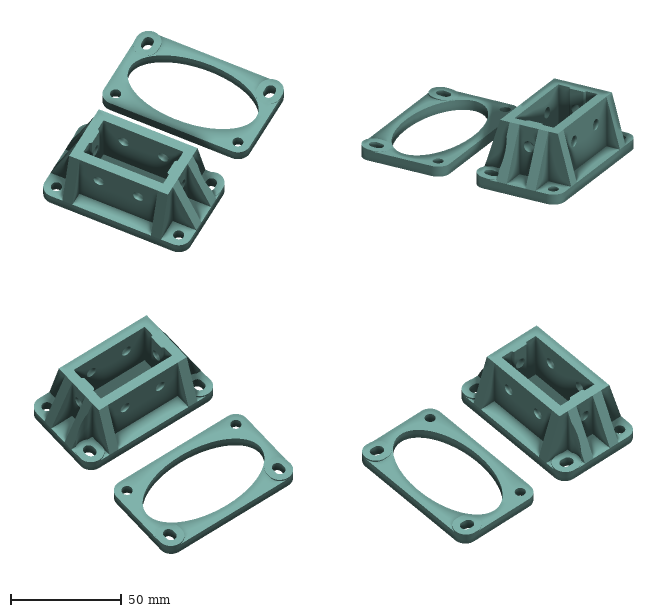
import cadquery as cq

PLATE_LENGTH = 74.0
PLATE_WIDTH = 45.0
PLATE_THICKNESS = 5.0
CORNER_RADIUS = 6.0
PLATE_PITCH = 104.9 - PLATE_WIDTH
HOLE_DIAMETER = 5.0
HOLE_X = PLATE_LENGTH / 2 - CORNER_RADIUS
HOLE_Y = PLATE_WIDTH / 2 - CORNER_RADIUS

SLOT_TRAVEL = 2.0
SEAT_LENGTH = 2 * CORNER_RADIUS + SLOT_TRAVEL
SEAT_RISE = 1.0
SLOT_Y = HOLE_Y - SLOT_TRAVEL / 2

WINDOW_LENGTH = 64.0
WINDOW_WIDTH = 35.0

TOTAL_HEIGHT = 30.0
BOX_LENGTH = PLATE_LENGTH - 4 * CORNER_RADIUS
BOX_WIDTH = 30.0
BOX_Y = -0.5
POCKET_LENGTH = 40.5
POCKET_WIDTH = 20.5

KEY_DEPTH = 1.2
KEY_WIDTH = 8.6
KEY_TIP_WIDTH = 7.1
KEY_SHOULDER = 0.4

CROSS_HOLE_DIAMETER = 5.3
CROSS_HOLE_Z = 20.0
CROSS_HOLE_SPACING = 20.0

RIB_THICKNESS = 5.1
END_RIB_SPACING = 15.0


def stadium(width, length, height):
    """Upright prism with round ends, long in Y, standing on Z = 0."""
    return cq.Workplane("XY").slot2D(length, width, 90).extrude(height)


def seat_block():
    """Seat with a top that falls to the plate surface at its -Y end."""
    block = stadium(2 * CORNER_RADIUS, SEAT_LENGTH, PLATE_THICKNESS + SEAT_RISE)
    wedge = (
        cq.Workplane("YZ")
        .moveTo(-SEAT_LENGTH / 2, 0)
        .lineTo(SEAT_LENGTH / 2, 0)
        .lineTo(SEAT_LENGTH / 2, PLATE_THICKNESS + SEAT_RISE)
        .lineTo(-SEAT_LENGTH / 2, PLATE_THICKNESS)
        .close()
        .extrude(CORNER_RADIUS, both=True)
    )
    return block.intersect(wedge)


def flange_plate():
    """Rounded plate with two round holes and two slots on sloped seats."""
    plate = (
        cq.Workplane("XY")
        .box(PLATE_LENGTH, PLATE_WIDTH, PLATE_THICKNESS, centered=(True, True, False))
        .edges("|Z")
        .fillet(CORNER_RADIUS)
    )
    slot = stadium(HOLE_DIAMETER, HOLE_DIAMETER + SLOT_TRAVEL, TOTAL_HEIGHT)
    hole = cq.Workplane("XY").circle(HOLE_DIAMETER / 2).extrude(TOTAL_HEIGHT)
    for x in (-HOLE_X, HOLE_X):
        plate = plate.union(seat_block().translate((x, SLOT_Y, 0)))
        plate = plate.cut(slot.translate((x, SLOT_Y, 0)))
        plate = plate.cut(hole.translate((x, -HOLE_Y, 0)))
    return plate


def rib_profile(plane, outer, inner):
    """Triangular-topped rib from the plate edge up to the top of the box."""
    return (
        cq.Workplane(plane)
        .moveTo(0, 0)
        .lineTo(outer, 0)
        .lineTo(outer, PLATE_THICKNESS)
        .lineTo(inner, TOTAL_HEIGHT)
        .lineTo(0, TOTAL_HEIGHT)
        .close()
        .extrude(RIB_THICKNESS / 2, both=True)
    )


def end_ribs():
    """Two ribs on each X end, cleared above the holes and seats they meet."""
    ribs = cq.Workplane("XY")
    for side in (-1, 1):
        for offset in (-END_RIB_SPACING / 2, END_RIB_SPACING / 2):
            rib = rib_profile("XZ", side * PLATE_LENGTH / 2, side * BOX_LENGTH / 2)
            ribs = ribs.union(rib.translate((0, BOX_Y + offset, 0)))
    seat_clearance = stadium(2 * CORNER_RADIUS, SEAT_LENGTH, TOTAL_HEIGHT)
    hole_clearance = cq.Workplane("XY").circle(CORNER_RADIUS).extrude(TOTAL_HEIGHT)
    for x in (-HOLE_X, HOLE_X):
        ribs = ribs.cut(seat_clearance.translate((x, SLOT_Y, 0)))
        ribs = ribs.cut(hole_clearance.translate((x, -HOLE_Y, 0)))
    return ribs


def side_ribs():
    """Ribs at both ends of each long side, flush with the box ends."""
    ribs = cq.Workplane("XY")
    rib_x = (BOX_LENGTH - RIB_THICKNESS) / 2
    for side in (-1, 1):
        rib = rib_profile("YZ", side * PLATE_WIDTH / 2, BOX_Y + side * BOX_WIDTH / 2)
        for x in (-rib_x, rib_x):
            ribs = ribs.union(rib.translate((x, 0, 0)))
    return ribs


def pocket():
    """Rectangular pocket, open at the top, with a key left on each end wall."""
    depth = TOTAL_HEIGHT - PLATE_THICKNESS
    space = cq.Workplane("XY").box(POCKET_LENGTH, POCKET_WIDTH, depth, centered=(True, True, False))
    for side in (-1, 1):
        wall_x = side * POCKET_LENGTH / 2
        shoulder_x = wall_x - side * KEY_SHOULDER
        tip_x = wall_x - side * KEY_DEPTH
        key = (
            cq.Workplane("XY")
            .polyline([
                (wall_x, -KEY_WIDTH / 2),
                (shoulder_x, -KEY_WIDTH / 2),
                (tip_x, -KEY_TIP_WIDTH / 2),
                (tip_x, KEY_TIP_WIDTH / 2),
                (shoulder_x, KEY_WIDTH / 2),
                (wall_x, KEY_WIDTH / 2),
            ])
            .close()
            .extrude(depth)
        )
        space = space.cut(key)
    return space.translate((0, BOX_Y, PLATE_THICKNESS))


def cross_holes():
    """One hole along X and two along Y, each through both opposite walls."""
    radius = CROSS_HOLE_DIAMETER / 2
    holes = cq.Workplane("YZ").center(BOX_Y, CROSS_HOLE_Z).circle(radius).extrude(PLATE_LENGTH / 2, both=True)
    for x in (-CROSS_HOLE_SPACING / 2, CROSS_HOLE_SPACING / 2):
        hole = cq.Workplane("XZ").center(x, CROSS_HOLE_Z).circle(radius).extrude(PLATE_WIDTH / 2, both=True)
        holes = holes.union(hole)
    return holes


def make_socket():
    """Flange plate carrying the ribbed socket box."""
    box = (
        cq.Workplane("XY")
        .box(BOX_LENGTH, BOX_WIDTH, TOTAL_HEIGHT, centered=(True, True, False))
        .translate((0, BOX_Y, 0))
    )
    tower = box.union(side_ribs()).union(end_ribs())
    return flange_plate().union(tower).cut(pocket()).cut(cross_holes())


def make_ring_plate():
    """Flange plate with the elliptical window, placed beyond the socket in Y."""
    window = cq.Workplane("XY").ellipse(WINDOW_LENGTH / 2, WINDOW_WIDTH / 2).extrude(TOTAL_HEIGHT)
    return flange_plate().cut(window).translate((0, PLATE_PITCH, 0))


socket = make_socket()
ring_plate = make_ring_plate()

result = cq.Compound.makeCompound([socket.solids().val(), ring_plate.solids().val()])